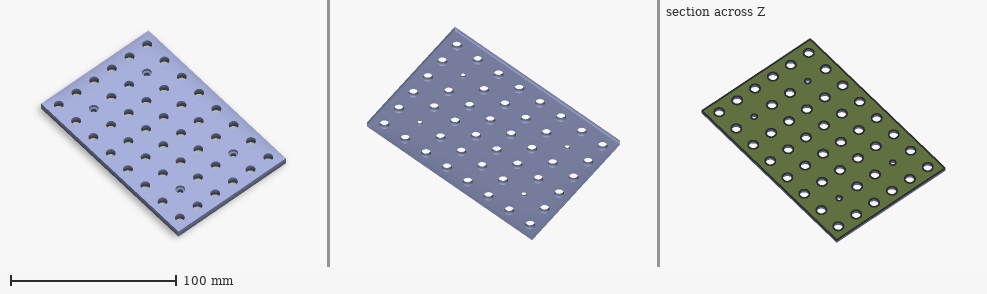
import cadquery as cq

length = 127.8
width = 85.5
thickness = 5.0

columns = 8
rows = 6
edge_margin = 7.5
column_pitch = (length - 2 * edge_margin) / (columns - 1)
row_pitch = (width - 2 * edge_margin) / (rows - 1)
hole_diameter = 6.0

screw_diameter = 3.5
screw_head_diameter = hole_diameter
screw_head_depth = 2.0
screw_columns = (1, columns - 2)
screw_rows = (1, rows - 2)


def grid_point(column, row):
    """Centre of a grid position, counted from the -X, -Y corner."""
    x = (column - (columns - 1) / 2) * column_pitch
    y = (row - (rows - 1) / 2) * row_pitch
    return (x, y)


plain_points = []
screw_points = []
for column in range(columns):
    for row in range(rows):
        is_screw = column in screw_columns and row in screw_rows
        points = screw_points if is_screw else plain_points
        points.append(grid_point(column, row))

plate = cq.Workplane("XY").box(length, width, thickness, centered=(True, True, False))
top_face = cq.Workplane("XY", origin=(0, 0, thickness))

plain_holes = top_face.pushPoints(plain_points).circle(hole_diameter / 2).extrude(-thickness)

screw_holes = top_face.pushPoints(screw_points).circle(screw_diameter / 2).extrude(-thickness)
screw_heads = top_face.pushPoints(screw_points).circle(screw_head_diameter / 2).extrude(-screw_head_depth)

result = plate.cut(plain_holes).cut(screw_holes).cut(screw_heads)